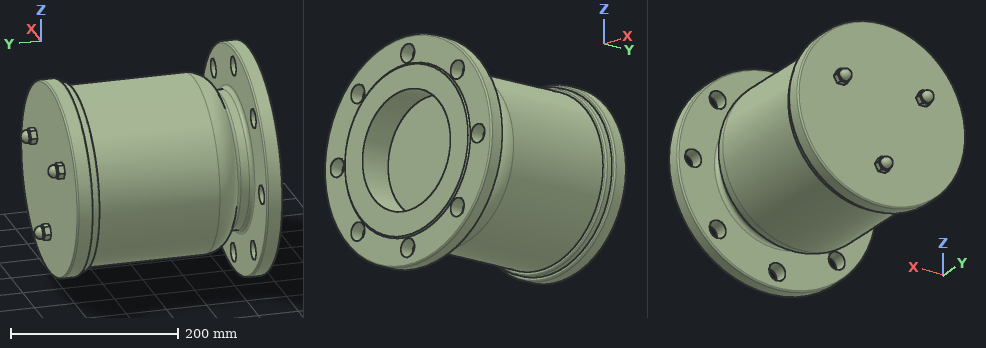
import cadquery as cq
import math


flange_dia = 285.0
flange_thickness = 20.0
face_dia = 210.0
face_height = 2.0
face_taper = 45.0
bolt_circle_dia = 240.0
bolt_hole_dia = 23.0
bolt_count = 8

bore_dia = 150.0
bore_depth = 43.0

neck_dia = 170.0
neck_fillet = 5.0
barrel_dia = 220.0
shoulder_radius = 30.0
shoulder_start = 71.2

collar_dia = 230.0
collar_thickness = 10.0
cover_dia = 240.0
cover_thickness = 20.0
rim_fillet = 2.0

nut_count = 3
nut_circle_dia = 135.0
nut_sides = 6
nut_flats = 17.0
nut_hex_height = 8.0
nut_dome_dia = 16.0
nut_neck_dia = 15.0
nut_height = 18.0
nut_chamfer_angle = 30.0

overall_length = 270.0

flange_back = face_height + flange_thickness
cover_outer = overall_length - nut_height
cover_inner = cover_outer - cover_thickness
collar_start = cover_inner - collar_thickness


def disc(diameter, start, end):
    """Solid cylinder on the Y axis between two stations."""
    return cq.Workplane("XZ", origin=(0, start, 0)).circle(diameter / 2).extrude(start - end)


def make_flange():
    plate = disc(flange_dia, face_height, flange_back).edges().fillet(rim_fillet)
    raised_face = (
        cq.Workplane("XZ")
        .circle(face_dia / 2)
        .extrude(-face_height, taper=-face_taper)
    )
    return plate.union(raised_face)


def make_barrel():
    """Neck, rounded shoulder and barrel, revolved from one half outline (X = radius)."""
    neck_r = neck_dia / 2
    barrel_r = barrel_dia / 2
    diagonal = math.sqrt(0.5)

    fillet_x = neck_r + neck_fillet

    foot_y = flange_back + neck_fillet
    foot_mid = (fillet_x - neck_fillet * diagonal, foot_y - neck_fillet * diagonal)

    shoulder_x = barrel_r - shoulder_radius
    center_distance = shoulder_radius + neck_fillet
    slope = math.acos((fillet_x - shoulder_x) / center_distance)
    throat_y = shoulder_start - center_distance * math.sin(slope)

    def on_shoulder(angle):
        return (
            shoulder_x + shoulder_radius * math.cos(angle),
            shoulder_start - shoulder_radius * math.sin(angle),
        )

    throat_turn = math.pi - slope / 2
    throat_mid = (
        fillet_x + neck_fillet * math.cos(throat_turn),
        throat_y + neck_fillet * math.sin(throat_turn),
    )

    outline = (
        cq.Workplane("XY")
        .moveTo(0, flange_back)
        .lineTo(fillet_x, flange_back)
        .threePointArc(foot_mid, (neck_r, foot_y))
        .lineTo(neck_r, throat_y)
        .threePointArc(throat_mid, on_shoulder(slope))
        .threePointArc(on_shoulder(slope / 2), (barrel_r, shoulder_start))
        .lineTo(barrel_r, collar_start)
        .lineTo(0, collar_start)
        .close()
    )
    return outline.revolve(360, (0, 0, 0), (0, 1, 0))


def make_cover_end():
    collar = disc(collar_dia, collar_start, cover_inner).edges("<Y").fillet(rim_fillet)
    cover = disc(cover_dia, cover_inner, cover_outer).edges().fillet(rim_fillet)
    return collar.union(cover)


def make_housing():
    body = make_flange().union(make_barrel()).union(make_cover_end())
    body = body.cut(disc(bore_dia, 0, bore_depth))
    bolt_holes = (
        cq.Workplane("XZ")
        .polarArray(bolt_circle_dia / 2, 0, 360, bolt_count)
        .circle(bolt_hole_dia / 2)
        .extrude(-flange_back)
    )
    return body.cut(bolt_holes)


def make_cap_nut():
    """Domed hexagon nut standing on the Y = 0 plane, with two corners along X."""
    corner_r = nut_flats / math.sqrt(3)
    dome_r = nut_dome_dia / 2
    dome_start = nut_height - dome_r
    diagonal = math.sqrt(0.5)
    hexagon = cq.Workplane("XZ").polygon(nut_sides, 2 * corner_r).extrude(-nut_hex_height)

    trim_r = nut_flats / 2
    trim_drop = (corner_r - trim_r) * math.tan(math.radians(nut_chamfer_angle))
    trim = (
        cq.Workplane("XY")
        .polyline([
            (0, 0),
            (corner_r, 0),
            (corner_r, nut_hex_height - trim_drop),
            (trim_r, nut_hex_height),
            (0, nut_hex_height),
        ])
        .close()
        .revolve(360, (0, 0, 0), (0, 1, 0))
    )

    cap = (
        cq.Workplane("XY")
        .moveTo(0, nut_hex_height)
        .lineTo(nut_neck_dia / 2, nut_hex_height)
        .lineTo(dome_r, dome_start)
        .threePointArc((dome_r * diagonal, dome_start + dome_r * diagonal), (0, nut_height))
        .close()
        .revolve(360, (0, 0, 0), (0, 1, 0))
    )
    return hexagon.intersect(trim).union(cap)


def place_nut(index):
    """One nut on the cover; the first sits straight below the axis."""
    angle = math.radians(360 / nut_count * index - 90)
    radius = nut_circle_dia / 2
    return make_cap_nut().translate((radius * math.cos(angle), cover_outer, radius * math.sin(angle)))


housing = make_housing()
cap_nuts = [place_nut(index) for index in range(nut_count)]

result = cq.Compound.makeCompound([housing.val()] + [nut.val() for nut in cap_nuts])